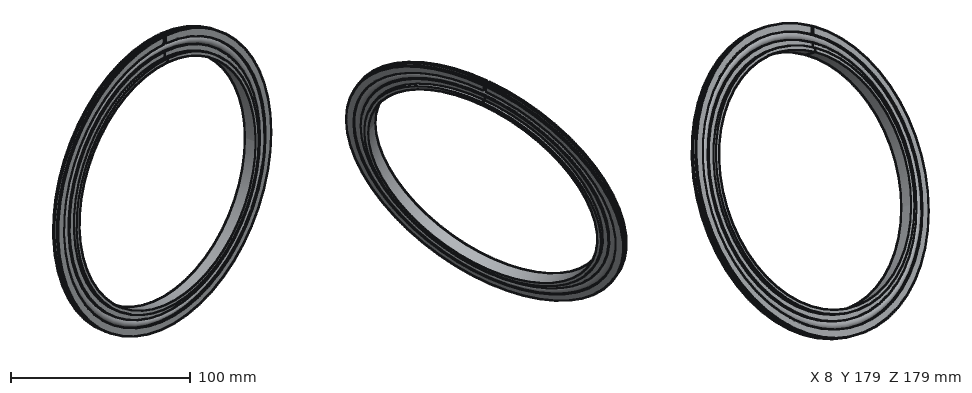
import cadquery as cq
import math

outer_radius = 89.5
rail_width = 4.0
groove_width = 1.8
groove_floor_radius = 86.6
wire_radius = 2.5
wire_centre_radius = 82.3
web_width = 4.0
flange_width = 8.0
flange_radius = 76.5
bore_radius = 74.0
outer_gap = 1.6
inner_gap = 0.4
seat_depth = 0.2
key_half_length = 11.6

outer_ring_bore = wire_centre_radius + wire_radius - seat_depth
web_radius = wire_centre_radius - wire_radius + seat_depth

key_radius = groove_width / 2
key_centre_radius = groove_floor_radius + key_radius


def annulus(inner, outer, width):
    """Flat ring about the X axis, centred on X = 0."""
    return cq.Workplane("YZ", origin=(-width / 2, 0, 0)).circle(outer).circle(inner).extrude(width)


def split_at_top(ring, gap):
    """Cut a parallel-sided gap through the ring at its top."""
    cutter = cq.Workplane("XY").box(2 * flange_width, gap, 2 * outer_radius, centered=(True, True, False))
    return ring.cut(cutter)


def round_hoop(centre_radius, section_radius):
    """Full torus about the X axis."""
    hoop = cq.Solid.makeTorus(centre_radius, section_radius, cq.Vector(0, 0, 0), cq.Vector(1, 0, 0))
    return cq.Workplane("XY").add(hoop)


def make_wire():
    return round_hoop(wire_centre_radius, wire_radius)


def make_outer_ring():
    ring = annulus(outer_ring_bore, outer_radius, rail_width)
    ring = ring.cut(annulus(key_centre_radius, outer_radius, groove_width))
    ring = ring.cut(round_hoop(key_centre_radius, key_radius))
    ring = ring.cut(make_wire())
    return split_at_top(ring, outer_gap)


def make_inner_ring():
    web = annulus(flange_radius, web_radius, web_width)
    flange = annulus(bore_radius, flange_radius, flange_width)
    return split_at_top(web.union(flange).cut(make_wire()), inner_gap)


def make_key():
    """Curved round bar lying in the groove and bridging the split; its ends are radial."""
    half_angle = math.degrees(math.asin(key_half_length / key_centre_radius))
    bar = (
        cq.Workplane("XY")
        .center(0, key_centre_radius)
        .circle(key_radius)
        .revolve(2 * half_angle, (0, -key_centre_radius), (1, -key_centre_radius))
    )
    return bar.rotate((0, 0, 0), (1, 0, 0), 90 - half_angle)


outer_ring = make_outer_ring()
wire = make_wire()
inner_ring = make_inner_ring()
key = make_key()

result = cq.Compound.makeCompound([outer_ring.val(), wire.val(), inner_ring.val(), key.val()])